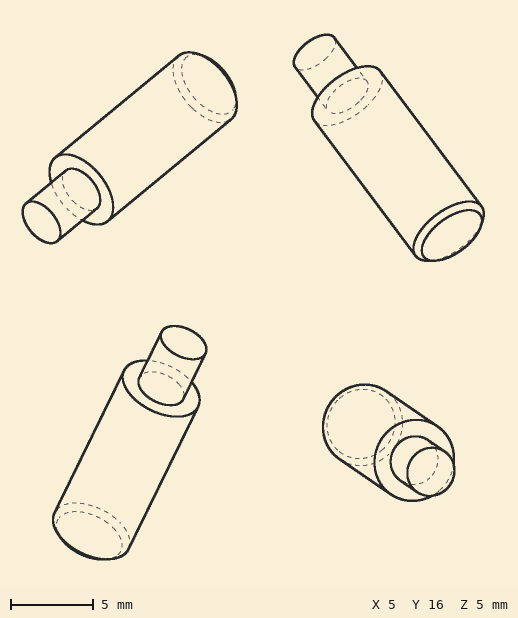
import cadquery as cq

total_length = 15.98
body_diameter = 5.0
pin_diameter = 2.97
pin_length = 3.8
end_chamfer = 0.37

body_length = total_length - pin_length


def cylinder_along_y(diameter, start_y, length):
    """Solid cylinder on the Y axis, growing from start_y toward +Y."""
    base = cq.Workplane("XZ", origin=(0, start_y, 0))
    return base.circle(diameter / 2).extrude(-length)


body = cylinder_along_y(body_diameter, pin_length, body_length)
body = body.faces(">Y").chamfer(end_chamfer)

pin = cylinder_along_y(pin_diameter, 0, pin_length)

result = body.union(pin).translate((0, -total_length / 2, 0))